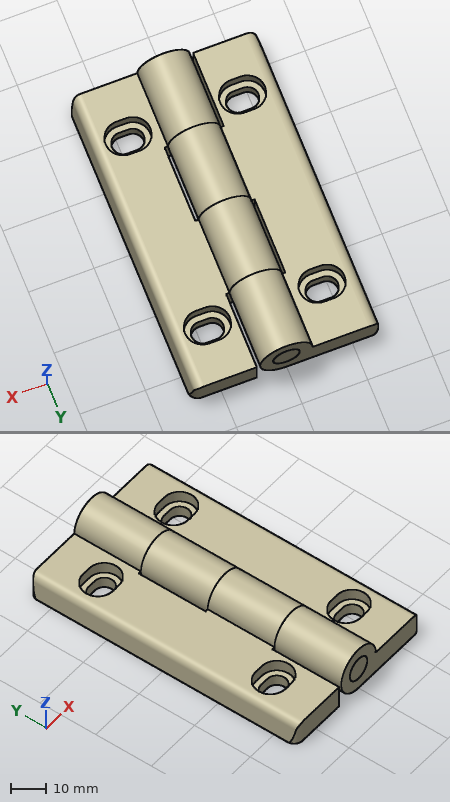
import cadquery as cq
import math


hinge_length = 96.0
hinge_width = 58.0
barrel_diameter = 16.0
pin_diameter = 8.0
pin_clearance = 0.1

bore_diameter = pin_diameter + 2 * pin_clearance
barrel_radius = barrel_diameter / 2
axis_height = barrel_radius
plate_thickness = axis_height
half_width = hinge_width / 2

knuckle_count = 4
knuckle_length = hinge_length / knuckle_count
relief_half_width = 9.0

edge_draft = math.radians(10)
edge_inset = plate_thickness * math.tan(edge_draft)
top_edge_radius = 3.0
corner_radius = 3.0

slot_x = 17.5
slot_y = 31.0
slot_straight = 3.0
slot_width = 6.7
counterbore_width = 10.7
counterbore_depth = 4.0


def cylinder_on_axis(diameter, start_y, length):
    """Cylinder around the hinge axis, reaching from start_y toward +Y."""
    return (
        cq.Workplane("XZ", origin=(0, start_y, axis_height))
        .circle(diameter / 2)
        .extrude(-length)
    )


def leaf_plate():
    """Plate on the -X side, up to the hinge axis, with a drafted and rounded outer edge."""
    profile = (
        cq.Workplane("XZ", origin=(0, -hinge_length / 2, 0))
        .moveTo(-half_width, 0)
        .lineTo(0, 0)
        .lineTo(0, plate_thickness)
        .lineTo(-half_width + edge_inset, plate_thickness)
        .close()
    )
    plate = profile.extrude(-hinge_length)
    plate = plate.faces(">Z").edges("<X").fillet(top_edge_radius)
    return plate.intersect(rounded_plan())


def rounded_plan():
    """Upright block that rounds the two outer corners of the plate in plan."""
    return (
        cq.Workplane("XY")
        .box(half_width, hinge_length, plate_thickness, centered=(False, True, False))
        .translate((-half_width, 0, 0))
        .edges("|Z and <X")
        .fillet(corner_radius)
    )


def knuckle_space(start_y):
    """Space in the plate for one knuckle of the other leaf."""
    return (
        cq.Workplane("XY")
        .box(relief_half_width, knuckle_length, plate_thickness, centered=False)
        .translate((-relief_half_width, start_y, 0))
    )


def slot_cutter(width, bottom_z):
    """Round-ended cutters at both mounting slots, from bottom_z to the plate's top face."""
    return (
        cq.Workplane("XY", origin=(-slot_x, 0, bottom_z))
        .pushPoints([(0, -slot_y), (0, slot_y)])
        .slot2D(slot_straight + width, width)
        .extrude(plate_thickness - bottom_z)
    )


def make_leaf():
    """Leaf on the -X side; its knuckles are the second and the last counted toward +Y."""
    leaf = leaf_plate()
    for index in range(knuckle_count):
        start_y = -hinge_length / 2 + index * knuckle_length
        if index % 2 == 1:
            leaf = leaf.union(cylinder_on_axis(barrel_diameter, start_y, knuckle_length))
        else:
            leaf = leaf.cut(knuckle_space(start_y))
    leaf = leaf.cut(cylinder_on_axis(bore_diameter, -hinge_length / 2, hinge_length))
    leaf = leaf.cut(slot_cutter(slot_width, 0))
    return leaf.cut(slot_cutter(counterbore_width, plate_thickness - counterbore_depth))


def make_pin():
    """Hinge pin, flush with both ends of the barrel."""
    return cylinder_on_axis(pin_diameter, -hinge_length / 2, hinge_length)


leaves = []
for turn in (0, 180):
    leaves.append(make_leaf().rotate((0, 0, 0), (0, 0, 1), turn).val())

pin = make_pin()

result = cq.Compound.makeCompound([*leaves, pin.val()])